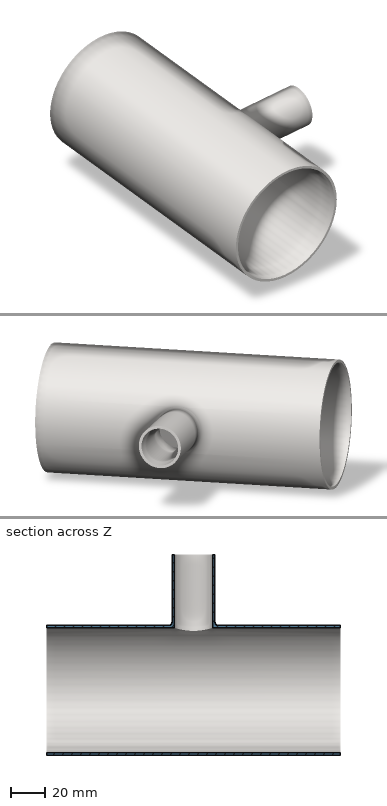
import cadquery as cq

run_length = 171.5
run_outer_diameter = 76.1
wall = 1.63
run_inner_diameter = run_outer_diameter - 2 * wall

branch_outer_diameter = 25.4
branch_inner_diameter = branch_outer_diameter - 2 * wall
overall_width = 117.5
branch_reach = overall_width - run_outer_diameter / 2

weld_radius = 1.7


def run_cylinder(diameter):
    """Solid cylinder along X, centred on the origin."""
    return cq.Workplane("YZ").circle(diameter / 2).extrude(run_length / 2, both=True)


def branch_cylinder(diameter):
    """Solid cylinder from the run axis out to the branch end, along +Y."""
    return cq.Workplane("XZ").circle(diameter / 2).extrude(-branch_reach)


body = run_cylinder(run_outer_diameter).union(branch_cylinder(branch_outer_diameter))
junction_zone = cq.selectors.BoxSelector(
    (-branch_outer_diameter, 0, -branch_outer_diameter),
    (branch_outer_diameter, run_outer_diameter / 2 + weld_radius, branch_outer_diameter),
)
body = body.edges(junction_zone).fillet(weld_radius)

result = body.cut(run_cylinder(run_inner_diameter)).cut(branch_cylinder(branch_inner_diameter))